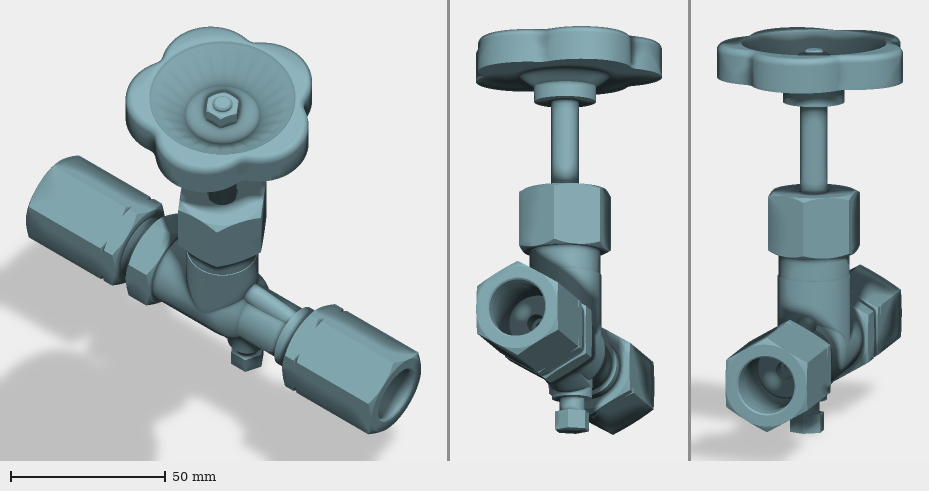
import cadquery as cq
import math


TOTAL_LENGTH = 140.0
LEFT_END = -69.6
RIGHT_END = LEFT_END + TOTAL_LENGTH

BIG_HEX = 27.0
SMALL_HEX = 10.0
HEX_CHAMFER_ANGLE = 30.0

NUT_LENGTH = 36.1
NOTCH_FROM_INNER_END = 5.2
NOTCH_WIDTH = 1.4
NOTCH_ROOT_DIAMETER = 28.6
BORE_DIAMETER = 18.6
BORE_MOUTH_DIAMETER = 19.6
BORE_DEPTH = 28.0
BORE_FLOOR_DIAMETER = 17.5
LEFT_NUT_INNER_END = LEFT_END + NUT_LENGTH
RIGHT_NUT_INNER_END = RIGHT_END - NUT_LENGTH

PORT_DIAMETER = 6.0
PORT_DEPTH = 7.0
SEAT_DIAMETER = 3.5
NEEDLE_DIAMETER = 4.2

LOCK_HEX_START = -29.1
LOCK_HEX_LENGTH = 9.5
LOCK_HEX_END = LOCK_HEX_START + LOCK_HEX_LENGTH
NECK_DIAMETER = 21.0
NECK_GROOVE_X = -30.8
NECK_GROOVE_RADIUS = 2.7
NECK_ROOT_DIAMETER = 18.6
LEFT_PIPE_DIAMETER = 24.0
LEFT_PIPE_END = 4.8
RIGHT_PIPE_DIAMETER = 18.0
COLLAR_DIAMETER = 21.0
COLLAR_START = 28.9

TOP_RIB_DIAMETER = 7.0
TOP_RIB_CREST = 14.1
TOP_RIB_SLOPE = 8.0
BOTTOM_RIB_CREST = -13.7
BOTTOM_RIB_WIDTH = 13.2
BOTTOM_RIB_DEPTH = 6.3
BOTTOM_RIB_SAG = 3.1
BOTTOM_RIB_SLOPE = 5.4
BOTTOM_RIB_END = 10.8

DRAIN_X = 10.1
BOSS_DIAMETER = 13.0
BOSS_BOTTOM = -15.0
PLUG_DIAMETER = 8.0
PLUG_HEX_TOP = -19.5
PLUG_HEX_HEIGHT = 6.0

BODY_DIAMETER = 23.5
BODY_TOP = 24.0
BONNET_DIAMETER = 23.0
GLAND_BOTTOM = 31.8
GLAND_HEIGHT = 20.0
GLAND_TOP = GLAND_BOTTOM + GLAND_HEIGHT
GLAND_HOLE_DIAMETER = 10.0
GLAND_HOLE_DEPTH = 1.4
STEM_DIAMETER = 9.0

WHEEL_TOP = 100.7
RIM_HEIGHT = 11.2
RIM_BOTTOM = WHEEL_TOP - RIM_HEIGHT
RIM_ROUND = 2.2
LOBE_COUNT = 5
LOBE_RADIUS = 16.1
LOBE_CENTRE_RADIUS = 15.4
VALLEY_RADIUS = 4.2
WHEEL_TURN = -2.8
HUB_DIAMETER = 20.0
HUB_BOTTOM = 81.2
HUB_CONE_BOTTOM = 86.1
HUB_CONE_TOP_DIAMETER = 29.7
DISH_DIAMETER = 47.5
DISH_FLOOR_DIAMETER = 24.0
DISH_DEPTH = 8.7
DISH_LIP = 0.5
DISH_FLOOR = WHEEL_TOP - DISH_DEPTH

WHEEL_NUT_HEIGHT = 5.0
STUD_DIAMETER = 6.0
STUD_HEIGHT = 6.5
STUD_CHAMFER = 0.5


def bar_x(diameter, x_start, x_end):
    """Round bar along the pipe axis."""
    return cq.Workplane("YZ").workplane(offset=x_start).circle(diameter / 2).extrude(x_end - x_start)


def bar_z(diameter, z_start, z_end, x=0.0):
    """Upright round bar centred at x."""
    return cq.Workplane("XY", origin=(x, 0, z_start)).circle(diameter / 2).extrude(z_end - z_start)


def hexagon(across_flats, length, chamfer_start, chamfer_end):
    """Upright hexagon with corners on X; its end corners are turned off conically."""
    flat_radius = across_flats / 2
    corner_radius = flat_radius / math.cos(math.radians(30))
    drop = (corner_radius - flat_radius) * math.tan(math.radians(HEX_CHAMFER_ANGLE))
    prism = cq.Workplane("XY").polygon(6, 2 * corner_radius).extrude(length)
    outline = [(0, 0), (flat_radius, 0)]
    outline.append((corner_radius, drop if chamfer_start else 0))
    outline.append((corner_radius, length - drop if chamfer_end else length))
    outline.append((flat_radius, length))
    outline.append((0, length))
    envelope = cq.Workplane("XZ").polyline(outline).close().revolve(360, (0, 0, 0), (0, 1, 0))
    return prism.intersect(envelope)


def hexagon_x(across_flats, x_start, length):
    """Hexagon along the pipe axis with corners at top and bottom, chamfered at both ends."""
    upright = hexagon(across_flats, length, True, True)
    return upright.rotate((0, 0, 0), (0, 1, 0), 90).translate((x_start, 0, 0))


def revolve_about_x(points):
    """Solid of revolution about the pipe axis from (x, radius) points."""
    return cq.Workplane("XZ").polyline(points).close().revolve(360, (0, 0, 0), (1, 0, 0))


def union_nut(x_start, notch_x):
    """Union nut with a V groove that nicks its six corners."""
    nut = hexagon_x(BIG_HEX, x_start, NUT_LENGTH)
    root = NOTCH_ROOT_DIAMETER / 2
    corner = BIG_HEX / 2 / math.cos(math.radians(30))
    groove = revolve_about_x(
        [
            (notch_x, root),
            (notch_x + NOTCH_WIDTH / 2, corner),
            (notch_x - NOTCH_WIDTH / 2, corner),
        ]
    )
    return nut.cut(groove)


def neck():
    """Threaded neck between the left nut and the lock hexagon, waisted by a round groove."""
    groove_centre = (NECK_GROOVE_X, NECK_ROOT_DIAMETER / 2 + NECK_GROOVE_RADIUS)
    groove = (
        cq.Workplane("XZ")
        .center(*groove_centre)
        .circle(NECK_GROOVE_RADIUS)
        .revolve(360, (0, -groove_centre[1], 0), (1, -groove_centre[1], 0))
    )
    return bar_x(NECK_DIAMETER, LEFT_NUT_INNER_END, LOCK_HEX_START).cut(groove)


def run_pipe():
    """Pipe body along X; the thick left half ends in a dome on the thinner right half."""
    dome = cq.Workplane("XY").sphere(LEFT_PIPE_DIAMETER / 2).translate((LEFT_PIPE_END, 0, 0))
    return (
        bar_x(LEFT_PIPE_DIAMETER, LOCK_HEX_START, LEFT_PIPE_END)
        .union(dome)
        .union(bar_x(RIGHT_PIPE_DIAMETER, 0, COLLAR_START))
        .union(bar_x(COLLAR_DIAMETER, COLLAR_START, RIGHT_NUT_INNER_END))
        .union(hexagon_x(BIG_HEX, LOCK_HEX_START, LOCK_HEX_LENGTH))
        .union(neck())
    )


def sloped(bar, crest, slope, x_start, x_end):
    """Tilt a bar down towards +X by slope degrees, lift it to crest and cut it square to X."""
    length = x_end - x_start
    window = cq.Workplane("XY").box(length, TOTAL_LENGTH, TOTAL_LENGTH)
    window = window.translate((x_start + length / 2, 0, 0))
    return bar.rotate((0, 0, 0), (0, 1, 0), slope).translate((0, 0, crest)).intersect(window)


def ribs():
    """Round bar over the right pipe and a broad bar with a bowed underside under the left one."""
    round_bar = bar_x(TOP_RIB_DIAMETER, LEFT_END, RIGHT_END).translate((0, 0, -TOP_RIB_DIAMETER / 2))
    half_width = BOTTOM_RIB_WIDTH / 2
    broad_bar = (
        cq.Workplane("YZ")
        .workplane(offset=LEFT_END)
        .moveTo(-half_width, BOTTOM_RIB_DEPTH)
        .lineTo(-half_width, BOTTOM_RIB_SAG)
        .threePointArc((0, 0), (half_width, BOTTOM_RIB_SAG))
        .lineTo(half_width, BOTTOM_RIB_DEPTH)
        .close()
        .extrude(TOTAL_LENGTH)
    )
    top = sloped(round_bar, TOP_RIB_CREST, TOP_RIB_SLOPE, 0, COLLAR_START)
    bottom = sloped(broad_bar, BOTTOM_RIB_CREST, BOTTOM_RIB_SLOPE, LOCK_HEX_END, BOTTOM_RIB_END)
    return top.union(bottom)


def drain():
    """Boss under the body with a hexagon-headed plug."""
    head = hexagon(SMALL_HEX, PLUG_HEX_HEIGHT, False, False)
    return (
        bar_z(BOSS_DIAMETER, BOSS_BOTTOM, 0, DRAIN_X)
        .union(bar_z(PLUG_DIAMETER, PLUG_HEX_TOP, BOSS_BOTTOM, DRAIN_X))
        .union(head.translate((DRAIN_X, 0, PLUG_HEX_TOP - PLUG_HEX_HEIGHT)))
    )


def bonnet():
    """Upright body, bonnet and gland nut, with clearance round the stem."""
    gland = hexagon(BIG_HEX, GLAND_HEIGHT, True, True).translate((0, 0, GLAND_BOTTOM))
    clearance = bar_z(GLAND_HOLE_DIAMETER, GLAND_TOP - GLAND_HOLE_DEPTH, GLAND_TOP)
    return (
        bar_z(BODY_DIAMETER, 0, BODY_TOP)
        .union(bar_z(BONNET_DIAMETER, BODY_TOP, GLAND_BOTTOM))
        .union(gland)
        .cut(clearance)
        .union(bar_z(STEM_DIAMETER, GLAND_BOTTOM, HUB_BOTTOM))
    )


def polar(radius, degrees):
    angle = math.radians(degrees)
    return (radius * math.cos(angle), radius * math.sin(angle))


def rim_blank():
    """Five-lobed rim; lobes and valleys are tangent arcs, rounded along the top edge."""
    half_pitch = 180.0 / LOBE_COUNT
    pitch = 2 * half_pitch
    lobe_along = LOBE_CENTRE_RADIUS * math.cos(math.radians(half_pitch))
    lobe_across = LOBE_CENTRE_RADIUS * math.sin(math.radians(half_pitch))
    valley_centre_radius = lobe_along + math.sqrt((LOBE_RADIUS + VALLEY_RADIUS) ** 2 - lobe_across**2)

    share = VALLEY_RADIUS / (LOBE_RADIUS + VALLEY_RADIUS)
    tangent_along = valley_centre_radius + share * (lobe_along - valley_centre_radius)
    tangent_across = share * lobe_across
    tangent_radius = math.hypot(tangent_along, tangent_across)
    tangent_angle = math.degrees(math.atan2(tangent_across, tangent_along))

    outline = cq.Workplane("XY").workplane(offset=RIM_BOTTOM)
    outline = outline.moveTo(*polar(tangent_radius, WHEEL_TURN - half_pitch + tangent_angle))
    for index in range(LOBE_COUNT):
        lobe_angle = WHEEL_TURN + index * pitch
        valley_angle = lobe_angle + half_pitch
        outline = outline.threePointArc(
            polar(LOBE_CENTRE_RADIUS + LOBE_RADIUS, lobe_angle),
            polar(tangent_radius, valley_angle - tangent_angle),
        ).threePointArc(
            polar(valley_centre_radius - VALLEY_RADIUS, valley_angle),
            polar(tangent_radius, valley_angle + tangent_angle),
        )
    return outline.close().extrude(RIM_HEIGHT).faces(">Z").edges().fillet(RIM_ROUND)


def handwheel():
    """Rim on a conical hub, with a conical dish sunk into the top."""
    hub = (
        cq.Workplane("XZ")
        .polyline(
            [
                (0, HUB_BOTTOM),
                (HUB_DIAMETER / 2, HUB_BOTTOM),
                (HUB_DIAMETER / 2, HUB_CONE_BOTTOM),
                (HUB_CONE_TOP_DIAMETER / 2, RIM_BOTTOM),
                (0, RIM_BOTTOM),
            ]
        )
        .close()
        .revolve(360, (0, 0, 0), (0, 1, 0))
    )
    dish = (
        cq.Workplane("XZ")
        .polyline(
            [
                (0, DISH_FLOOR),
                (DISH_FLOOR_DIAMETER / 2, DISH_FLOOR),
                (DISH_DIAMETER / 2 - DISH_LIP, WHEEL_TOP - DISH_LIP),
                (DISH_DIAMETER / 2, WHEEL_TOP),
                (0, WHEEL_TOP),
            ]
        )
        .close()
        .revolve(360, (0, 0, 0), (0, 1, 0))
    )
    return rim_blank().union(hub).cut(dish)


def wheel_fastening():
    """Nut in the dish and the chamfered stud end standing out of it."""
    nut = hexagon(SMALL_HEX, WHEEL_NUT_HEIGHT, False, True).translate((0, 0, DISH_FLOOR))
    stud = bar_z(STUD_DIAMETER, DISH_FLOOR, DISH_FLOOR + STUD_HEIGHT).faces(">Z").chamfer(STUD_CHAMFER)
    return nut.union(stud)


def flow_passage():
    """Nut bores with bevelled mouths and floor rims, then ports and seats stopped at the needle."""
    bevel = (BORE_MOUTH_DIAMETER - BORE_DIAMETER) / 2
    floor_bevel = (BORE_DIAMETER - BORE_FLOOR_DIAMETER) / 2
    port_end = BORE_DEPTH + PORT_DEPTH
    profile = [
        (0, 0),
        (0, BORE_MOUTH_DIAMETER / 2),
        (bevel, BORE_DIAMETER / 2),
        (BORE_DEPTH + floor_bevel, BORE_DIAMETER / 2),
        (BORE_DEPTH, BORE_FLOOR_DIAMETER / 2),
        (BORE_DEPTH, PORT_DIAMETER / 2),
        (port_end, PORT_DIAMETER / 2),
        (port_end, SEAT_DIAMETER / 2),
        (TOTAL_LENGTH / 2, SEAT_DIAMETER / 2),
        (TOTAL_LENGTH / 2, 0),
    ]
    left = revolve_about_x([(LEFT_END + depth, radius) for depth, radius in profile])
    right = revolve_about_x([(RIGHT_END - depth, radius) for depth, radius in profile])
    needle = bar_z(NEEDLE_DIAMETER, -BORE_DIAMETER / 2, BORE_DIAMETER / 2)
    return left.union(right).cut(needle)


result = (
    run_pipe()
    .union(union_nut(LEFT_END, LEFT_NUT_INNER_END - NOTCH_FROM_INNER_END))
    .union(union_nut(RIGHT_NUT_INNER_END, RIGHT_NUT_INNER_END + NOTCH_FROM_INNER_END))
    .union(ribs())
    .union(drain())
    .union(bonnet())
    .union(handwheel())
    .union(wheel_fastening())
    .cut(flow_passage())
)